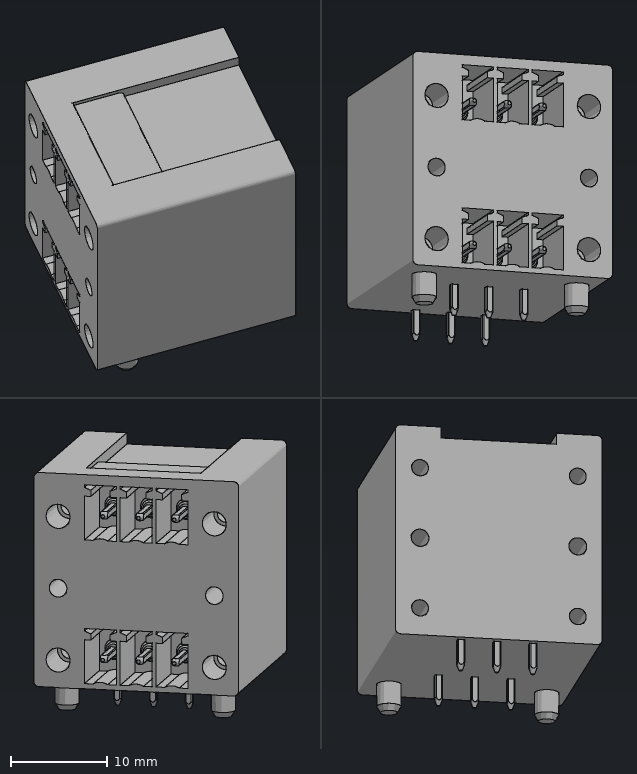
import cadquery as cq


width = 21.8
depth = 21.9
height = 22.7
edge_radius = 0.55

column_pitch = 3.8
row_pitch = 15.2
column_xs = [-column_pitch, 0, column_pitch]
lower_row_z = 2.93
upper_row_z = lower_row_z + row_pitch

socket_width = 3.4
socket_depth = 6.73
socket_top = 3.47
socket_bottom = 2.35
rib_reach = 0.67
rib_top_at_wall = 0.25
rib_top_at_tip = 0.55
rib_bottom = 1.2
floor_bulge_width = 1.55
floor_bulge_height = 0.2

collar_base_radius = 1.11
collar_shoulder_radius = 0.88
collar_face_radius = 0.67
collar_shoulder_height = 0.52
collar_height = 0.67

hole_x = 8.31
screw_bore_radius = 1.27
screw_bore_depth = 5.18
screw_hole_radius = 0.88
middle_hole_radius = 0.93

recess_width = 12.17
recess_front_y = 3.4
recess_front_radius = 0.2
shelf_depth = 0.45
shelf_back_y = 9.2
shelf_edge_radius = 0.55
recess_depth = 1.2

pin_size = 0.78
pin_chamfer = 0.1
pin_tip_y = 1.05
tail_length = 3.2
lower_tail_y = 7.95
upper_tail_y = 20.65
tip_radius = 0.18
tip_base_radius = 0.5
tip_height = 0.8

peg_radius = 1.27
peg_end_radius = 0.88
peg_y = 4.12
peg_length = 3.05
peg_chamfer_height = 0.65
peg_embed = 1.04


def front_plane(x, z):
    """Sketch plane on the mating face, normal towards -Y, local axes along X and Z."""
    return cq.Workplane("XZ", origin=(x, 0, z))


def make_block():
    """Rectangular block with its four long edges rounded."""
    block = cq.Workplane("XY").box(width, depth, height, centered=(True, False, False))
    return block.edges("|Y").fillet(edge_radius)


def make_recess():
    """Cutter for the stepped top recess: shallow shelf in front, deeper floor behind."""
    shelf_z = height - shelf_depth
    floor_z = height - recess_depth
    return (
        cq.Workplane("YZ", origin=(-recess_width / 2, 0, 0))
        .moveTo(recess_front_y, height)
        .radiusArc(
            (recess_front_y + recess_front_radius, height - recess_front_radius), recess_front_radius
        )
        .lineTo(recess_front_y + recess_front_radius, shelf_z)
        .lineTo(shelf_back_y - shelf_edge_radius, shelf_z)
        .radiusArc((shelf_back_y, shelf_z - shelf_edge_radius), shelf_edge_radius)
        .lineTo(shelf_back_y, floor_z)
        .lineTo(depth, floor_z)
        .lineTo(depth, height)
        .close()
        .extrude(recess_width)
    )


def make_collar(x, z):
    """Two stacked cones standing on the socket's back wall, as a revolved profile."""
    return (
        cq.Workplane("XY", origin=(x, socket_depth, z))
        .lineTo(collar_base_radius, 0)
        .lineTo(collar_shoulder_radius, -collar_shoulder_height)
        .lineTo(collar_face_radius, -collar_height)
        .lineTo(0, -collar_height)
        .close()
        .revolve(360, (0, 0, 0), (0, 1, 0))
    )


def make_socket(x, z):
    """Cutter for one keyed socket, with the pin collar left standing inside it."""
    half = socket_width / 2
    rib_x = half - rib_reach
    bulge_x = floor_bulge_width / 2
    outline = (
        front_plane(x, z)
        .moveTo(-half, socket_top)
        .lineTo(half, socket_top)
        .lineTo(half, socket_top - rib_top_at_wall)
        .lineTo(rib_x, socket_top - rib_top_at_tip)
        .lineTo(rib_x, socket_top - rib_bottom)
        .lineTo(half, socket_top - rib_bottom)
        .lineTo(half, -socket_bottom)
        .lineTo(bulge_x, -socket_bottom)
        .threePointArc((0, floor_bulge_height - socket_bottom), (-bulge_x, -socket_bottom))
        .lineTo(-half, -socket_bottom)
        .lineTo(-half, socket_top - rib_bottom)
        .lineTo(-rib_x, socket_top - rib_bottom)
        .lineTo(-rib_x, socket_top - rib_top_at_tip)
        .lineTo(-half, socket_top - rib_top_at_wall)
        .close()
    )
    return outline.extrude(-socket_depth).cut(make_collar(x, z))


def make_mounting_holes(x):
    """Cutter for one side: two counterbored screw holes and a plain hole between them."""
    middle_z = (lower_row_z + upper_row_z) / 2
    holes = front_plane(x, middle_z).circle(middle_hole_radius).extrude(-depth)
    for z in (lower_row_z, upper_row_z):
        holes = holes.union(front_plane(x, z).circle(screw_hole_radius).extrude(-depth))
        holes = holes.union(front_plane(x, z).circle(screw_bore_radius).extrude(-screw_bore_depth))
    return holes


def make_bar(length):
    """Square bar with chamfered edges from Z = 0 upwards, its lower end turned to a cone."""
    bar = (
        cq.Workplane("XY")
        .rect(pin_size, pin_size)
        .extrude(length)
        .edges("|Z")
        .chamfer(pin_chamfer)
    )
    envelope = (
        cq.Workplane("XZ")
        .lineTo(tip_radius, 0)
        .lineTo(tip_base_radius, tip_height)
        .lineTo(pin_size, tip_height)
        .lineTo(pin_size, length)
        .lineTo(0, length)
        .close()
        .revolve(360, (0, 0, 0), (0, 1, 0))
    )
    return bar.intersect(envelope)


def make_pin(x, z, tail_y):
    """Right-angle pin: contact along Y at height z, tail down through the underside."""
    elbow = pin_size / 2
    contact = make_bar(tail_y + elbow - pin_tip_y)
    contact = contact.rotate((0, 0, 0), (1, 0, 0), -90).translate((x, pin_tip_y, z))
    tail = make_bar(z + elbow + tail_length).translate((x, tail_y, -tail_length))
    return contact.union(tail)


def make_peg(x):
    """Round peg with a tapered lower end, seated in the underside."""
    return (
        cq.Workplane("XZ", origin=(x, peg_y, 0))
        .moveTo(0, -peg_length)
        .lineTo(peg_end_radius, -peg_length)
        .lineTo(peg_radius, peg_chamfer_height - peg_length)
        .lineTo(peg_radius, peg_embed)
        .lineTo(0, peg_embed)
        .close()
        .revolve(360, (0, 0, 0), (0, 1, 0))
    )


pins = []
for row_z, tail_y in ((lower_row_z, lower_tail_y), (upper_row_z, upper_tail_y)):
    for column_x in column_xs:
        pins.append(make_pin(column_x, row_z, tail_y))

pegs = [make_peg(side * hole_x) for side in (-1, 1)]

housing = make_block().cut(make_recess())
for row_z in (lower_row_z, upper_row_z):
    for column_x in column_xs:
        housing = housing.cut(make_socket(column_x, row_z))
for side in (-1, 1):
    housing = housing.cut(make_mounting_holes(side * hole_x))
for insert in pins + pegs:
    housing = housing.cut(insert)

bodies = [housing] + pins + pegs
result = cq.Compound.makeCompound([body.solids().val() for body in bodies])